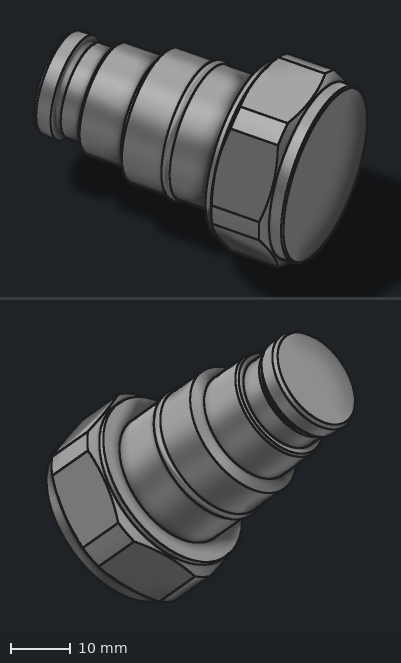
import cadquery as cq
import math

TOTAL_LENGTH = 50.3

HEAD_DIAMETER = 18.6
HEAD_FACE_DIAMETER = 17.5
HEAD_CHAMFER_LENGTH = 0.7
HEAD_END = 3.4
GROOVE_DIAMETER = 15.7
GROOVE_FILLET = 0.3
GROOVE_END = 4.9
NECK_DIAMETER = 17.0

SLEEVE_START = 8.8
SLEEVE_DIAMETER = 19.9
SLEEVE_CHAMFER = 0.4
SHOULDER_START = 17.0
SHOULDER_END = 18.2
BARREL_DIAMETER = 24.0

RING_CENTER = 26.4
RING_WIRE_DIAMETER = 1.7
RING_DIAMETER = 25.0

NUT_START = 35.8
COLLAR_DIAMETER = 31.3
COLLAR_CHAMFER = 0.3
HEX_START = 36.8
HEX_END = 47.75
HEX_ACROSS_FLATS = 32.0
HEX_CORNER_DIAMETER = 34.81
HEX_CHAMFER_ANGLE = 30.0
HEX_SIDES = 6


def revolve_about_x(profile):
    """Spin an (x, radius) profile into a solid of revolution about the X axis."""
    return profile.close().revolve(360, (0, 0, 0), (1, 0, 0))


def make_body():
    """Nose, groove, neck, sleeve and barrel, running on through the nut."""
    head_radius = HEAD_DIAMETER / 2
    groove_radius = GROOVE_DIAMETER / 2
    neck_radius = NECK_DIAMETER / 2
    sleeve_radius = SLEEVE_DIAMETER / 2
    barrel_radius = BARREL_DIAMETER / 2
    profile = (
        cq.Workplane("XZ")
        .moveTo(0, 0)
        .lineTo(0, HEAD_FACE_DIAMETER / 2)
        .lineTo(HEAD_CHAMFER_LENGTH, head_radius)
        .lineTo(HEAD_END, head_radius)
        .lineTo(HEAD_END, groove_radius + GROOVE_FILLET)
        .radiusArc((HEAD_END + GROOVE_FILLET, groove_radius), -GROOVE_FILLET)
        .lineTo(GROOVE_END, groove_radius)
        .lineTo(GROOVE_END, neck_radius)
        .lineTo(SLEEVE_START, neck_radius)
        .lineTo(SLEEVE_START, sleeve_radius - SLEEVE_CHAMFER)
        .lineTo(SLEEVE_START + SLEEVE_CHAMFER, sleeve_radius)
        .lineTo(SHOULDER_START, sleeve_radius)
        .lineTo(SHOULDER_END, barrel_radius)
        .lineTo(TOTAL_LENGTH, barrel_radius)
        .lineTo(TOTAL_LENGTH, 0)
    )
    return revolve_about_x(profile)


def make_ring():
    """Ring of round section, partly sunk into the barrel."""
    wire_radius = RING_WIRE_DIAMETER / 2
    section = cq.Workplane("XZ").center(RING_CENTER, RING_DIAMETER / 2 - wire_radius).circle(wire_radius)
    axis_drop = wire_radius - RING_DIAMETER / 2
    return section.revolve(360, (0, axis_drop, 0), (1, axis_drop, 0))


def make_collar():
    """Round part of the nut, chamfered at its outer end."""
    collar_radius = COLLAR_DIAMETER / 2
    profile = (
        cq.Workplane("XZ")
        .moveTo(NUT_START, 0)
        .lineTo(NUT_START, collar_radius)
        .lineTo(TOTAL_LENGTH - COLLAR_CHAMFER, collar_radius)
        .lineTo(TOTAL_LENGTH, collar_radius - COLLAR_CHAMFER)
        .lineTo(TOTAL_LENGTH, 0)
    )
    return revolve_about_x(profile)


def make_hexagon():
    """Hexagon with flats facing +Z and -Z, its corners turned round and chamfered."""
    corner_to_corner = HEX_ACROSS_FLATS / math.cos(math.pi / HEX_SIDES)
    prism = (
        cq.Workplane("YZ")
        .workplane(offset=HEX_START)
        .polygon(HEX_SIDES, corner_to_corner)
        .extrude(HEX_END - HEX_START)
    )
    corner_radius = HEX_CORNER_DIAMETER / 2
    collar_radius = COLLAR_DIAMETER / 2
    chamfer_length = (corner_radius - collar_radius) * math.tan(math.radians(HEX_CHAMFER_ANGLE))
    envelope = (
        cq.Workplane("XZ")
        .moveTo(HEX_START, 0)
        .lineTo(HEX_START, collar_radius)
        .lineTo(HEX_START + chamfer_length, corner_radius)
        .lineTo(HEX_END - chamfer_length, corner_radius)
        .lineTo(HEX_END, collar_radius)
        .lineTo(HEX_END, 0)
    )
    return prism.intersect(revolve_about_x(envelope))


result = make_body().union(make_ring()).union(make_collar()).union(make_hexagon())